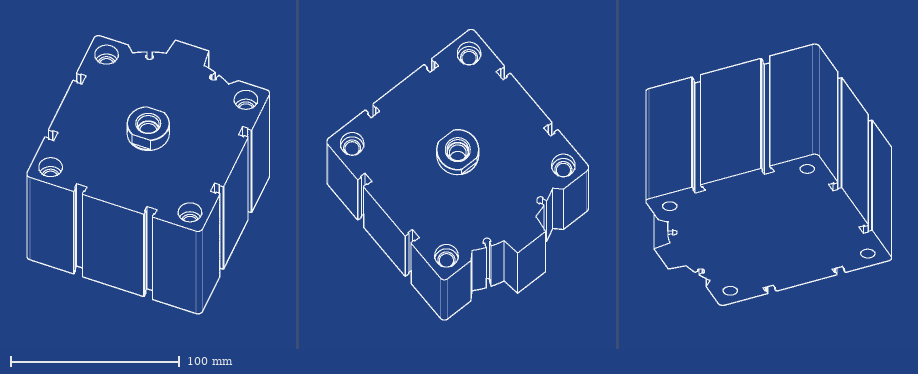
import cadquery as cq
import math

side = 112.2
half_side = side / 2
housing_height = 83.0
corner_radius = 3.0

shoulder_radius = 60.0
notch_start = 35.3
overall_depth = 125.9
rib_top = overall_depth - half_side
rib_top_half_width = 10.7
rib_base_half_width = 12.1

groove_diameter = 4.5
groove_neck_width = 3.0
groove_radius = 56.8
groove_ledge_radius = 57.2
groove_angle = 21.1

slot_offset = 22.4
slot_neck_width = 5.2
slot_mouth_chamfer = 0.4
slot_inner_width = 6.5
slot_lip = 2.8
slot_depth = 6.0

mount_offset = 44.6
mount_diameter = 8.4
mount_lead_in_diameter = 10.1
counterbore_diameter = 14.0
counterbore_depth = 9.0

rod_diameter = 25.0
rod_projection = 10.1
rod_insertion = 30.2
flat_width = 22.0
rod_chamfer = 0.3
flat_clearance = 1.0
rod_top = housing_height + rod_projection
rod_bottom = housing_height - rod_insertion

socket_mouth_diameter = 14.9
socket_diameter = 13.0
socket_depth = 6.3
socket_step_diameter = 12.2
pilot_diameter = 10.1
pilot_depth = 20.1
cone_angle = 118.0


def on_shoulder(x):
    """Point of the shoulder circle on the +Y side at the given X."""
    return (x, math.sqrt(shoulder_radius**2 - x**2))


def make_block():
    block = cq.Workplane("XY").rect(side, side).extrude(housing_height)
    return block.edges("|Z").fillet(corner_radius)


def notch_bottom_x():
    """X where the 45 degree notch flank meets the shoulder circle."""
    drop = half_side - notch_start
    return (-drop + math.sqrt(2 * shoulder_radius**2 - drop**2)) / 2


def make_rail():
    """Full-height rail with round shoulders, rooted at the block's centre plane."""
    notch_x = notch_bottom_x()
    shoulder_mid_x = (notch_x + rib_base_half_width) / 2
    return (
        cq.Workplane("XY")
        .moveTo(-notch_x, 0)
        .lineTo(*on_shoulder(-notch_x))
        .threePointArc(on_shoulder(-shoulder_mid_x), on_shoulder(-rib_base_half_width))
        .lineTo(-rib_top_half_width, rib_top)
        .lineTo(rib_top_half_width, rib_top)
        .lineTo(*on_shoulder(rib_base_half_width))
        .threePointArc(on_shoulder(shoulder_mid_x), on_shoulder(notch_x))
        .lineTo(notch_x, 0)
        .close()
        .extrude(housing_height)
    )


def make_rail_clearance():
    """Trapezoidal cut that leaves the 45 degree notch flanks."""
    notch_x, notch_y = on_shoulder(notch_bottom_x())
    return (
        cq.Workplane("XY")
        .polyline([
            (-notch_start, half_side),
            (-notch_x, notch_y),
            (notch_x, notch_y),
            (notch_start, half_side),
        ])
        .close()
        .extrude(housing_height)
    )


def make_sensor_groove(angle):
    """Necked groove with a round bottom, turned about the Z axis from +Y."""
    neck_x = groove_neck_width / 2
    groove_x = groove_diameter / 2
    groove = (
        cq.Workplane("XY")
        .moveTo(-neck_x, rib_top)
        .lineTo(-neck_x, groove_ledge_radius)
        .lineTo(-groove_x, groove_ledge_radius)
        .lineTo(-groove_x, groove_radius)
        .threePointArc((0, groove_radius - groove_x), (groove_x, groove_radius))
        .lineTo(groove_x, groove_ledge_radius)
        .lineTo(neck_x, groove_ledge_radius)
        .lineTo(neck_x, rib_top)
        .close()
        .extrude(housing_height)
    )
    return groove.rotate((0, 0, 0), (0, 0, 1), angle)


def make_t_slot(offset, angle):
    """T-slot in the -Y face, turned about the Z axis to another face."""
    neck_x = slot_neck_width / 2
    mouth_x = neck_x + slot_mouth_chamfer
    inner_x = slot_inner_width / 2
    slot = (
        cq.Workplane("XY")
        .center(offset, -half_side)
        .polyline([
            (-mouth_x, 0),
            (-neck_x, slot_mouth_chamfer),
            (-neck_x, slot_lip),
            (-inner_x, slot_lip),
            (-inner_x, slot_depth),
            (inner_x, slot_depth),
            (inner_x, slot_lip),
            (neck_x, slot_lip),
            (neck_x, slot_mouth_chamfer),
            (mouth_x, 0),
        ])
        .close()
        .extrude(housing_height)
    )
    return slot.rotate((0, 0, 0), (0, 0, 1), angle)


def make_mounting_hole(x, y):
    """Counterbored through hole with a 45 degree lead-in below the counterbore."""
    hole_radius = mount_diameter / 2
    lead_in_radius = mount_lead_in_diameter / 2
    counterbore_radius = counterbore_diameter / 2
    floor = housing_height - counterbore_depth
    return (
        cq.Workplane("XZ")
        .polyline([
            (0, 0),
            (hole_radius, 0),
            (hole_radius, floor - (lead_in_radius - hole_radius)),
            (lead_in_radius, floor),
            (counterbore_radius, floor),
            (counterbore_radius, housing_height),
            (0, housing_height),
        ])
        .close()
        .revolve(360, (0, 0), (0, 1))
        .translate((x, y, 0))
    )


def make_rod_blank():
    return (
        cq.Workplane("XY")
        .workplane(offset=rod_bottom)
        .circle(rod_diameter / 2)
        .extrude(rod_top - rod_bottom)
    )


def make_housing():
    housing = make_block().cut(make_rail_clearance()).union(make_rail())
    for angle in (-groove_angle, groove_angle):
        housing = housing.cut(make_sensor_groove(angle))
    for face_angle in (-90, 0, 90):
        for offset in (-slot_offset, slot_offset):
            housing = housing.cut(make_t_slot(offset, face_angle))
    for x in (-mount_offset, mount_offset):
        for y in (-mount_offset, mount_offset):
            housing = housing.cut(make_mounting_hole(x, y))
    return housing.cut(make_rod_blank())


def make_rod_socket():
    """Stepped blind hole with a mouth chamfer and a conical bottom."""
    mouth_radius = socket_mouth_diameter / 2
    socket_radius = socket_diameter / 2
    step_radius = socket_step_diameter / 2
    pilot_radius = pilot_diameter / 2
    cone_slope = 1 / math.tan(math.radians(cone_angle / 2))
    ledge_z = rod_top - socket_depth
    pilot_top_z = ledge_z - (step_radius - pilot_radius) * cone_slope
    pilot_bottom_z = rod_top - pilot_depth
    tip_z = pilot_bottom_z - pilot_radius * cone_slope
    return (
        cq.Workplane("XZ")
        .polyline([
            (0, rod_top),
            (mouth_radius, rod_top),
            (socket_radius, rod_top - (mouth_radius - socket_radius)),
            (socket_radius, ledge_z),
            (step_radius, ledge_z),
            (pilot_radius, pilot_top_z),
            (pilot_radius, pilot_bottom_z),
            (0, tip_z),
        ])
        .close()
        .revolve(360, (0, 0), (0, 1))
    )


def make_rod():
    rod = make_rod_blank().faces(">Z").chamfer(rod_chamfer)
    flat_height = rod_projection - flat_clearance
    for direction in (-1, 1):
        beyond_flat = (
            cq.Workplane("XY")
            .workplane(offset=rod_top - flat_height)
            .center(0, direction * (flat_width + rod_diameter) / 2)
            .rect(rod_diameter, rod_diameter)
            .extrude(flat_height)
        )
        rod = rod.cut(beyond_flat)
    return rod.cut(make_rod_socket())


housing = make_housing()
rod = make_rod()
result = cq.Compound.makeCompound([housing.val(), rod.val()])